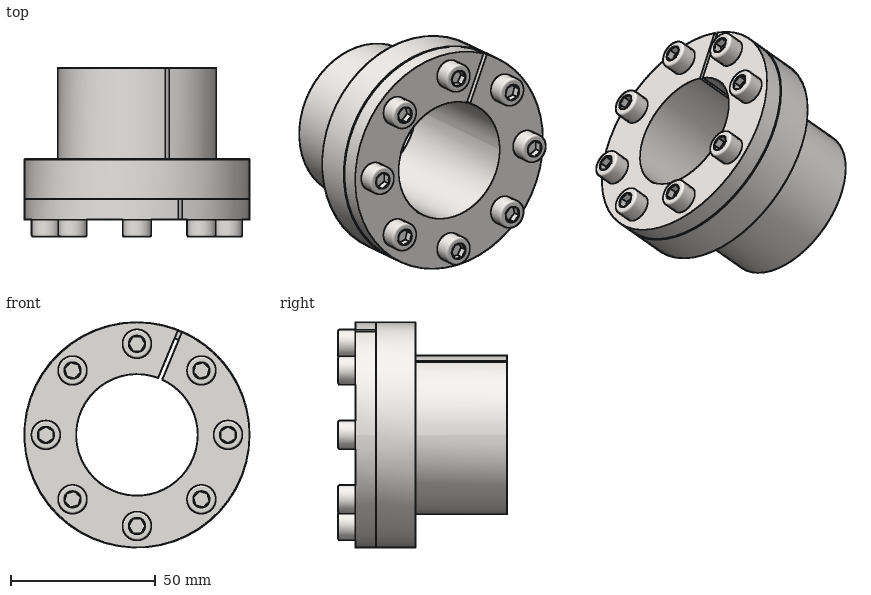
import cadquery as cq
import math


outer_diameter = 78
bore_diameter = 42.0
sleeve_diameter = 55.0
flange_thickness = 7
ring_thickness = 14.0
sleeve_length = 31.5
rim_chamfer = 0.2

slit_width = 1.5
slit_angle_from_top = 22.5
slit_reach = 35.8

screw_count = 8
screw_circle_diameter = 63.0
head_diameter = 10.0
head_height = 6.0
head_edge_fillet = 0.8
socket_across_flats = 5.0
socket_depth = 3.0
lead_in_slope = 30

socket_across_corners = socket_across_flats / math.cos(math.radians(30))
lead_in_width = (socket_across_corners - socket_across_flats) / 2
lead_in_depth = lead_in_width * math.tan(math.radians(lead_in_slope))

bush_length = flange_thickness + ring_thickness + sleeve_length


def cylinder_along_y(diameter, start_y, length):
    """Cylinder on the Y axis from start_y toward +Y."""
    return cq.Workplane("XZ", origin=(0, start_y, 0)).circle(diameter / 2).extrude(-length)


def radial_slit(reach, length):
    """Cutter from the axis out to reach, running from the flange face toward +Y."""
    slit = cq.Workplane("XY").box(slit_width, length, reach, centered=(True, False, False))
    return slit.rotate((0, 0, 0), (0, 1, 0), slit_angle_from_top)


def make_bush():
    """Flange, chamfered ring and sleeve in one piece, bored through and slit on one side."""
    flange = cylinder_along_y(outer_diameter, 0, flange_thickness)
    ring = cylinder_along_y(outer_diameter, flange_thickness, ring_thickness)
    ring = ring.faces("<Y or >Y").chamfer(rim_chamfer)
    sleeve = cylinder_along_y(sleeve_diameter, flange_thickness, ring_thickness + sleeve_length)
    bore = cylinder_along_y(bore_diameter, 0, bush_length)

    bush = flange.union(ring).union(sleeve).cut(bore)
    bush = bush.cut(radial_slit(outer_diameter, flange_thickness))
    return bush.cut(radial_slit(slit_reach, bush_length))


def hexagon_socket():
    """Cutter for the hexagon socket, with a conical lead-in as wide as the hexagon corners."""
    mouth = cq.Workplane("XZ", origin=(0, -head_height, 0))
    hexagon = mouth.polygon(6, socket_across_corners).extrude(-socket_depth)
    lead_in = cq.Solid.makeCone(
        socket_across_corners / 2,
        socket_across_flats / 2,
        lead_in_depth,
        pnt=cq.Vector(0, -head_height, 0),
        dir=cq.Vector(0, 1, 0),
    )
    return hexagon.union(cq.Workplane(lead_in))


def make_screw(angle):
    """Socket screw head seated on the flange, with a rounded rim, turned by angle about the bush axis."""
    screw = cylinder_along_y(head_diameter, -head_height, head_height)
    screw = screw.faces("<Y").edges().fillet(head_edge_fillet)
    screw = screw.cut(hexagon_socket()).translate((0, 0, screw_circle_diameter / 2))
    return screw.rotate((0, 0, 0), (0, 1, 0), angle)


bush = make_bush()
screws = [make_screw(i * 360 / screw_count) for i in range(screw_count)]

result = cq.Compound.makeCompound([bush.val(), *[screw.val() for screw in screws]])